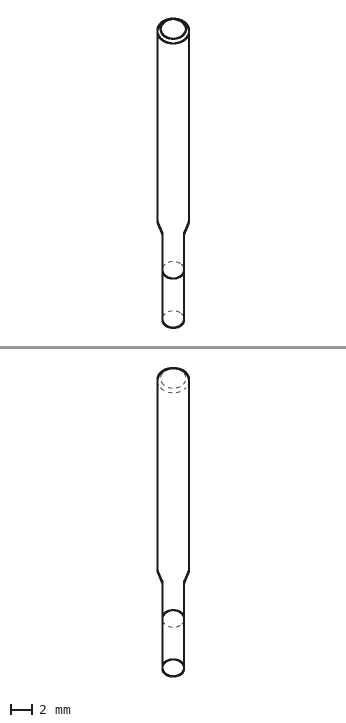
import cadquery as cq
import math

total_length = 44.0
shank_diameter = 3.0
neck_diameter = 2.05

cutter_length = 7.88
neck_top_height = 13.5
taper_top_height = 15.35

shank_chamfer = 0.3
point_angle = 130.0

shank_radius = shank_diameter / 2
neck_radius = neck_diameter / 2
point_height = neck_radius / math.tan(math.radians(point_angle / 2))
point_z = -total_length / 2
top_z = total_length / 2
joint_z = point_z + cutter_length


def turned_body(outline):
    """Revolve a closed (radius, z) outline about the Z axis."""
    return cq.Workplane("XZ").polyline(outline).close().revolve(360, (0, 0), (0, 1))


def make_shank():
    """Chamfered shank that tapers down to a straight neck."""
    return turned_body([
        (0, joint_z),
        (neck_radius, joint_z),
        (neck_radius, point_z + neck_top_height),
        (shank_radius, point_z + taper_top_height),
        (shank_radius, top_z - shank_chamfer),
        (shank_radius - shank_chamfer, top_z),
        (0, top_z),
    ])


def make_cutter():
    """Cylindrical cutting end with a conical point, butted against the neck."""
    return turned_body([
        (0, point_z),
        (neck_radius, point_z + point_height),
        (neck_radius, joint_z),
        (0, joint_z),
    ])


shank = make_shank()
cutter = make_cutter()

result = cq.Compound.makeCompound([shank.val(), cutter.val()])